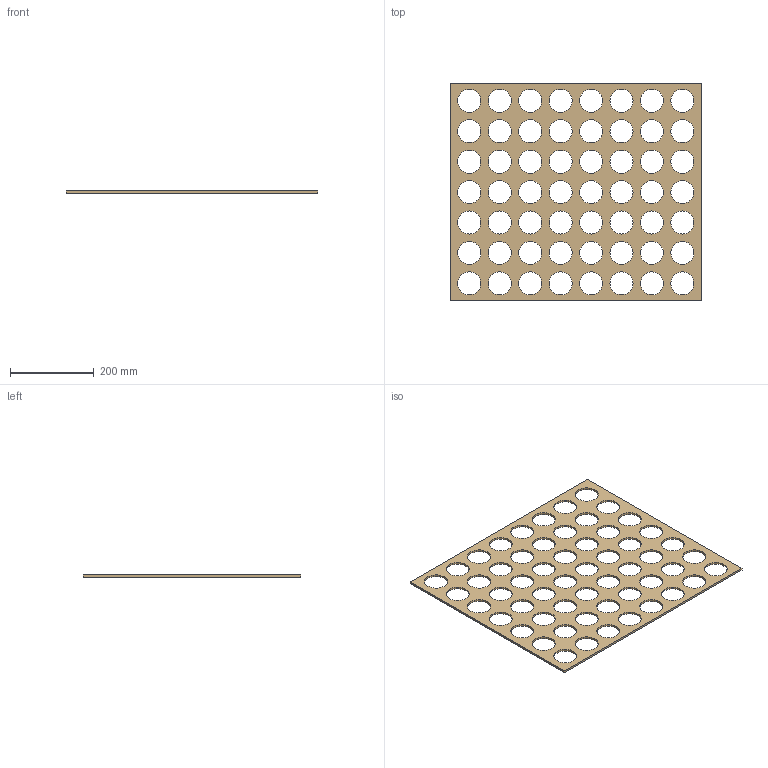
import cadquery as cq

plate_length = 600.0
plate_width = 520.0
plate_thickness = 5.0

hole_diameter = 55.0
hole_pitch = 72.6
hole_columns = 8
hole_rows = 7

first_column_edge_distance = 45.5
first_row_edge_distance = 42.0


def make_plate():
    """Flat sheet centred on the origin."""
    return cq.Workplane("XY").box(plate_length, plate_width, plate_thickness)


def hole_centres():
    """Centres of the grid holes, counted from the -X, -Y corner of the plate."""
    first_x = -plate_length / 2 + first_column_edge_distance
    first_y = -plate_width / 2 + first_row_edge_distance
    return [
        (first_x + column * hole_pitch, first_y + row * hole_pitch)
        for column in range(hole_columns)
        for row in range(hole_rows)
    ]


def cut_hole_grid(plate):
    """Cut every grid hole right through the sheet."""
    return plate.faces(">Z").workplane().pushPoints(hole_centres()).hole(hole_diameter)


result = cut_hole_grid(make_plate())